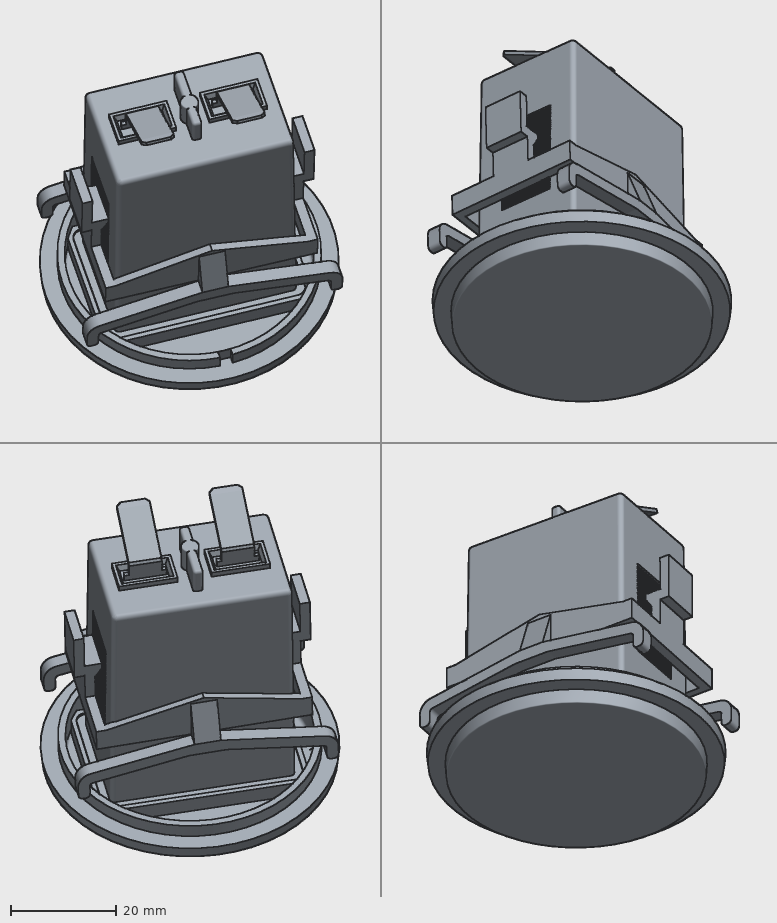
import cadquery as cq
import math

FLANGE_RADIUS = 28.45
FLANGE_BOTTOM_RADIUS = 28.2
FLANGE_BOTTOM = 2.9
FLANGE_TOP = 5.3
FACE_BOTTOM_RADIUS = 24.7
FACE_TOP_RADIUS = 24.9
FACE_EDGE_FILLET = 0.2
COLLAR_RADIUS = 25.1
COLLAR_TOP = 8.0
WELL_RADIUS = 23.7
WELL_FLOOR = 1.8
WELL_FILLET = 0.8
NOTCH_WIDTH = 2.5

FRAME_LENGTH_X = 28.4
FRAME_LENGTH_Y = 41.2
FRAME_WALL = 1.0
FRAME_TOP = 5.0
FRAME_FLOOR = 4.6
FRAME_CORNER = 2.0

HOUSING_X = 23.28
HOUSING_Y = 35.98
HOUSING_TOP = 52.65
HOUSING_DRAFT = 0.53
HOUSING_FILLET = 1.0

TOOTH_PITCH = 1.0
TOOTH_COUNT = 20
TOOTH_DEPTH = 0.5
TOOTH_LAND = 0.3
TOOTH_CREST_DEPTH = 0.1
TOOTH_CLEARANCE = 0.3
RATCHET_WIDTH = 11.4
RATCHET_BOTTOM = 18.8

TERMINAL_Y = 9.0
SOCKET_X = -0.85
SOCKET_LENGTH_X = 6.5
SOCKET_LENGTH_Y = 11.4
SOCKET_HEIGHT = 1.1
SOCKET_WALL = 0.65
SOCKET_TAPER = 28.0
BLADE_LEFT = -1.62
BLADE_THICKNESS = 0.82
BLADE_WIDTH = 6.4
BLADE_ROOT_WIDTH = 8.2
BLADE_ROOT_RISE = 0.2
BLADE_BEND_Z = 56.7
BLADE_ANGLE = 25.8
BLADE_BEND_CHAMFER = 0.4
BLADE_REACH = 12.79
BLADE_TIP_LENGTH = 1.3
BLADE_TIP_BEVEL = 0.12
BLADE_CORNER_LENGTH = 0.7
BLADE_CORNER_WIDTH = 0.8

RIB_LEFT = -7.4
RIB_RIGHT = 5.5
RIB_THICKNESS = 1.9
RIB_TOP = 57.75
RIB_FILLET = 0.6
POST_RADIUS = 1.7
POST_FILLET = 0.25

BRACKET_OFFSET_X = 1.1
BRACKET_PIVOT_Z = 23.0
BRACKET_ROLL = -0.8
BRACKET_PITCH = 0.9
BAND_HALF_X = 14.0
BAND_HALF_Y = 21.0
SIDE_THICKNESS = 1.6
END_THICKNESS = 2.0
BAND_BOTTOM = 20.58
BAND_TOP = 25.12
BAND_PEAK = 29.45
ARM_WIDTH = 2.8
ARM_THICKNESS = 2.65
ARM_TOP = 20.4
ARM_FLAT_TOP = 2.6
ARM_FLAT_BOTTOM = 3.7
ARM_REACH = 25.3
ARM_BEND_START = 22.8
ARM_BEND_TOP = 17.15
ARM_BEND_BOTTOM = 13.9
LEG_THICKNESS = 2.25
LEG_INNER_START = 22.4
LEG_INNER_TOP = 14.7
LEG_INNER_BOTTOM = 13.9
LEG_BOTTOM = 11.05
LEG_FILLET = 0.9
GUSSET_WIDTH = 5.15
GUSSET_TOP = 28.4
PAWL_WIDTH = 8.2
PAWL_TIP = 17.6
PAWL_TIP_BOTTOM = 32.0
PAWL_ROOT = 29.9
PAWL_SHELF = 33.2
TAB_THICKNESS = 2.0
TAB_BOTTOM = 30.7
TAB_TOP = 40.36


def box(x_min, x_max, y_min, y_max, z_min, z_max):
    """Box between the given limits."""
    size = (x_max - x_min, y_max - y_min, z_max - z_min)
    return cq.Workplane("XY").box(*size, centered=False).translate((x_min, y_min, z_min))


def extrude_along_x(outline, x_min, x_max):
    """Extrude a closed YZ outline between two X positions."""
    return outline.close().extrude(x_max - x_min).translate((x_min, 0, 0))


def both_ends(half):
    """Join a shape with its mirror image in the XZ plane."""
    return half.union(half.mirror("XZ"))


def make_bezel():
    outline = (
        cq.Workplane("XZ")
        .lineTo(FACE_BOTTOM_RADIUS, 0)
        .lineTo(FACE_TOP_RADIUS, FLANGE_BOTTOM)
        .lineTo(FLANGE_BOTTOM_RADIUS, FLANGE_BOTTOM)
        .lineTo(FLANGE_RADIUS, FLANGE_TOP)
        .lineTo(COLLAR_RADIUS, FLANGE_TOP)
        .lineTo(COLLAR_RADIUS, COLLAR_TOP)
        .lineTo(WELL_RADIUS, COLLAR_TOP)
        .lineTo(WELL_RADIUS, WELL_FLOOR + WELL_FILLET)
        .radiusArc((WELL_RADIUS - WELL_FILLET, WELL_FLOOR), WELL_FILLET)
        .lineTo(0, WELL_FLOOR)
        .close()
    )
    bezel = outline.revolve(360, (0, 0, 0), (0, 1, 0))
    bezel = bezel.faces("<Z").edges().fillet(FACE_EDGE_FILLET)
    bezel = bezel.rotate((0, 0, 0), (0, 0, 1), -90)
    half_notch = NOTCH_WIDTH / 2
    notch = box(WELL_RADIUS, FLANGE_RADIUS, -half_notch, half_notch, FLANGE_TOP, COLLAR_TOP)
    return bezel.cut(notch)


def make_frame():
    height = FRAME_TOP - WELL_FLOOR
    frame = cq.Workplane("XY", (0, 0, WELL_FLOOR)).rect(FRAME_LENGTH_X, FRAME_LENGTH_Y).extrude(height)
    within_well = cq.Workplane("XY", (0, 0, WELL_FLOOR)).circle(WELL_RADIUS).extrude(height)
    tray = (
        cq.Workplane("XY", (0, 0, FRAME_FLOOR))
        .rect(FRAME_LENGTH_X - 2 * FRAME_WALL, FRAME_LENGTH_Y - 2 * FRAME_WALL)
        .extrude(height)
        .edges("|Z")
        .fillet(FRAME_CORNER)
    )
    return frame.intersect(within_well).cut(tray)


def housing_half_y(z):
    """Half length of the housing along Y at height z."""
    return HOUSING_Y / 2 - (z - FRAME_FLOOR) * math.tan(math.radians(HOUSING_DRAFT))


def make_ratchet_cutter():
    """Sawtooth notches, each with a narrow crest land and a face sloping inward above it."""
    cutter = None
    for index in range(TOOTH_COUNT):
        z_low = RATCHET_BOTTOM + index * TOOTH_PITCH
        z_high = z_low + TOOTH_PITCH
        wall_low = housing_half_y(z_low)
        wall_high = housing_half_y(z_high)
        outline = cq.Workplane("YZ").polyline(
            [
                (wall_low - TOOTH_CREST_DEPTH, z_low),
                (wall_low - TOOTH_CREST_DEPTH, z_low + TOOTH_LAND),
                (wall_high - TOOTH_DEPTH, z_high),
                (wall_high + TOOTH_CLEARANCE, z_high),
                (wall_low + TOOTH_CLEARANCE, z_low),
            ]
        )
        notch = extrude_along_x(outline, -RATCHET_WIDTH / 2, RATCHET_WIDTH / 2)
        cutter = notch if cutter is None else cutter.union(notch)
    return both_ends(cutter)


def make_housing():
    housing = (
        cq.Workplane("XY", (0, 0, FRAME_FLOOR))
        .rect(HOUSING_X, HOUSING_Y)
        .extrude(HOUSING_TOP - FRAME_FLOOR, taper=HOUSING_DRAFT)
        .edges("not #Z")
        .fillet(HOUSING_FILLET)
        .faces(">Z")
        .edges()
        .fillet(HOUSING_FILLET)
    )
    return housing.cut(make_ratchet_cutter())


def make_socket(y):
    center = (SOCKET_X, y)
    socket = (
        cq.Workplane("XY", (0, 0, HOUSING_TOP))
        .center(*center)
        .rect(SOCKET_LENGTH_X, SOCKET_LENGTH_Y)
        .extrude(SOCKET_HEIGHT)
    )
    opening = (
        cq.Workplane("XY", (0, 0, HOUSING_TOP + SOCKET_HEIGHT))
        .center(*center)
        .rect(SOCKET_LENGTH_X - 2 * SOCKET_WALL, SOCKET_LENGTH_Y - 2 * SOCKET_WALL)
        .extrude(-SOCKET_HEIGHT, taper=SOCKET_TAPER)
    )
    return socket.cut(opening)


def make_blade(y):
    """Upright terminal whose upper part leans over towards +X."""
    half_width = BLADE_WIDTH / 2
    half_root = BLADE_ROOT_WIDTH / 2
    root_top = HOUSING_TOP + SOCKET_HEIGHT + BLADE_ROOT_RISE
    blade_right = BLADE_LEFT + BLADE_THICKNESS
    root = box(BLADE_LEFT, blade_right, y - half_root, y + half_root, HOUSING_TOP, root_top)

    bend_drop = BLADE_THICKNESS * math.tan(math.radians(90 - BLADE_ANGLE) / 2)
    upright = (
        cq.Workplane("XZ", (0, y + half_width, 0))
        .polyline(
            [
                (BLADE_LEFT, HOUSING_TOP),
                (BLADE_LEFT, BLADE_BEND_Z),
                (blade_right, BLADE_BEND_Z - bend_drop),
                (blade_right, HOUSING_TOP),
            ]
        )
        .close()
        .extrude(BLADE_WIDTH)
    )

    bevel_start = BLADE_REACH - BLADE_TIP_LENGTH
    leaning = (
        cq.Workplane("XZ", (0, half_width, 0))
        .polyline(
            [
                (0, 0),
                (bevel_start, 0),
                (BLADE_REACH, -BLADE_TIP_BEVEL),
                (BLADE_REACH, BLADE_TIP_BEVEL - BLADE_THICKNESS),
                (bevel_start, -BLADE_THICKNESS),
                (bend_drop, -BLADE_THICKNESS),
            ]
        )
        .close()
        .extrude(BLADE_WIDTH)
    )
    corner_start = BLADE_REACH - BLADE_CORNER_LENGTH
    tip_half_width = half_width - BLADE_CORNER_WIDTH
    plan = (
        cq.Workplane("XY", (0, 0, -BLADE_THICKNESS))
        .polyline(
            [
                (0, -half_width),
                (corner_start, -half_width),
                (BLADE_REACH, -tip_half_width),
                (BLADE_REACH, tip_half_width),
                (corner_start, half_width),
                (0, half_width),
            ]
        )
        .close()
        .extrude(BLADE_THICKNESS)
    )
    leaning = (
        leaning.intersect(plan)
        .rotate((0, 0, 0), (0, 1, 0), -BLADE_ANGLE)
        .translate((BLADE_LEFT, y, BLADE_BEND_Z))
    )
    blade = upright.union(leaning)
    outer_bend = cq.selectors.NearestToPointSelector((BLADE_LEFT, y, BLADE_BEND_Z))
    blade = blade.edges(outer_bend).chamfer(BLADE_BEND_CHAMFER)
    return root.union(blade)


def make_key_rib():
    half = RIB_THICKNESS / 2
    rib = box(RIB_LEFT, RIB_RIGHT, -half, half, HOUSING_TOP, RIB_TOP)
    rib = rib.edges("|Z or >Z").fillet(RIB_FILLET)
    post = (
        cq.Workplane("XY", (0, 0, HOUSING_TOP))
        .circle(POST_RADIUS)
        .extrude(RIB_TOP - HOUSING_TOP)
        .faces(">Z")
        .edges()
        .fillet(POST_FILLET)
    )
    return rib.union(post)


def make_band_side():
    """Peaked side plate of the band on the +X side."""
    slope_start = BAND_HALF_Y - END_THICKNESS
    outline = cq.Workplane("YZ").polyline(
        [
            (-BAND_HALF_Y, BAND_BOTTOM),
            (BAND_HALF_Y, BAND_BOTTOM),
            (BAND_HALF_Y, BAND_TOP),
            (slope_start, BAND_TOP),
            (0, BAND_PEAK),
            (-slope_start, BAND_TOP),
            (-BAND_HALF_Y, BAND_TOP),
        ]
    )
    return extrude_along_x(outline, BAND_HALF_X - SIDE_THICKNESS, BAND_HALF_X)


def make_spring_arm():
    """Arched spring arm with hooked ends on the +X side of the band."""
    outline = (
        cq.Workplane("YZ")
        .moveTo(0, ARM_TOP)
        .lineTo(ARM_FLAT_TOP, ARM_TOP)
        .lineTo(ARM_BEND_START, ARM_BEND_TOP)
        .tangentArcPoint((ARM_REACH, ARM_BEND_BOTTOM), relative=False)
        .lineTo(ARM_REACH, LEG_BOTTOM)
        .lineTo(ARM_REACH - LEG_THICKNESS, LEG_BOTTOM)
        .lineTo(ARM_REACH - LEG_THICKNESS, LEG_INNER_BOTTOM)
        .tangentArcPoint((LEG_INNER_START, LEG_INNER_TOP), relative=False)
        .lineTo(ARM_FLAT_BOTTOM, ARM_TOP - ARM_THICKNESS)
        .lineTo(0, ARM_TOP - ARM_THICKNESS)
    )
    half_arm = extrude_along_x(outline, BAND_HALF_X, BAND_HALF_X + ARM_WIDTH)
    half_arm = half_arm.faces("<Z").edges("|X").fillet(LEG_FILLET)
    return both_ends(half_arm)


def make_gusset():
    """Wedge that carries the spring arm on the side plate."""
    arm_bottom = ARM_TOP - ARM_THICKNESS
    inner = BAND_HALF_X - SIDE_THICKNESS / 2
    outer = BAND_HALF_X + ARM_WIDTH
    return (
        cq.Workplane("XZ", (0, GUSSET_WIDTH / 2, 0))
        .polyline(
            [
                (inner, BAND_BOTTOM),
                (BAND_HALF_X, BAND_BOTTOM),
                (BAND_HALF_X, arm_bottom),
                (outer, arm_bottom),
                (outer, ARM_TOP),
                (BAND_HALF_X, GUSSET_TOP),
                (inner, GUSSET_TOP),
            ]
        )
        .close()
        .extrude(GUSSET_WIDTH)
    )


def make_pawl():
    """Ratchet pawl with its finger tab on the +Y side of the band."""
    stem_inner = BAND_HALF_Y - END_THICKNESS
    tab_outer = BAND_HALF_Y + TAB_THICKNESS
    outline = cq.Workplane("YZ").polyline(
        [
            (stem_inner, BAND_BOTTOM),
            (BAND_HALF_Y, BAND_BOTTOM),
            (BAND_HALF_Y, TAB_BOTTOM),
            (tab_outer, TAB_BOTTOM),
            (tab_outer, TAB_TOP),
            (BAND_HALF_Y, TAB_TOP),
            (BAND_HALF_Y, PAWL_SHELF),
            (PAWL_TIP, PAWL_SHELF),
            (PAWL_TIP, PAWL_TIP_BOTTOM),
            (stem_inner, PAWL_ROOT),
        ]
    )
    return extrude_along_x(outline, -PAWL_WIDTH / 2, PAWL_WIDTH / 2)


def make_bracket():
    side = make_band_side().union(make_spring_arm()).union(make_gusset())
    end_plate = box(
        -BAND_HALF_X, BAND_HALF_X, BAND_HALF_Y - END_THICKNESS, BAND_HALF_Y, BAND_BOTTOM, BAND_TOP
    )
    end = end_plate.union(make_pawl())
    bracket = side.union(side.mirror("YZ")).union(both_ends(end))
    pivot = (0, 0, BRACKET_PIVOT_Z)
    bracket = bracket.rotate(pivot, (1, 0, BRACKET_PIVOT_Z), BRACKET_ROLL)
    bracket = bracket.rotate(pivot, (0, 1, BRACKET_PIVOT_Z), BRACKET_PITCH)
    return bracket.translate((BRACKET_OFFSET_X, 0, 0))


result = make_bezel().union(make_frame()).union(make_housing()).union(make_key_rib())
for terminal_y in (-TERMINAL_Y, TERMINAL_Y):
    result = result.union(make_socket(terminal_y)).union(make_blade(terminal_y))
result = result.union(make_bracket())